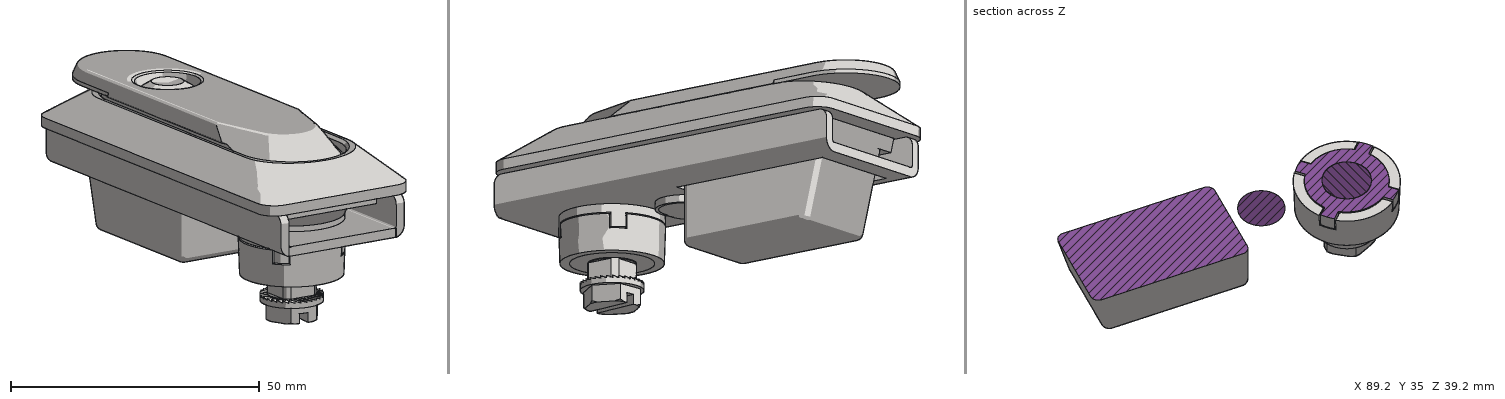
import cadquery as cq
import math


flange_length = 85.0
flange_width = 35.0
flange_height = 2.1
flange_corner = 4.0
rim_height = 8.1
rim_length = 74.0
rim_half_width = 12.3
rim_end_depth = 10.3
pivot_x = 24.6
rim_end_sliver = 1.0
recess_radius = 11.0
recess_chamfer = 0.6
recess_floor = 5.0
tray_width = 24.5
tray_depth = 2.85
tray_end_x = 36.9
front_wall_x = -37.8
front_wall_angle = 14.5
lock_box_width = 19.6
lock_box_end_x = -0.7
lock_box_bottom = -20.95
lock_box_fillet = 1.7
lock_box_bottom_fillet = 1.5

boss_radius = 10.7
boss_root_radius = 11.8
boss_root_bottom = -5.5
boss_bottom = -10.4
thread_radius = 8.6
tab_width = 3.0
tab_bottom = -13.4
tab_angles = [45, 135, 225, 315]
nut_clearance = 0.3
nut_top_radius = 10.8
nut_bottom_radius = 10.5
nut_bottom = -18.3

handle_bottom = 8.6
handle_parting = 9.4
handle_top = 11.7
handle_radius = 10.9
handle_end_x = -46.1
grip_end_x = -25.4
handle_draft = 24.0
handle_edge_fillet = 0.8
stem_radius = handle_radius
nose_top_x = 21.6
nose_top_radius = 6.9
nose_base_x = 24.3
nose_base_radius = 10.0
nose_foot_ledge = 0.4
nose_top_angle = 15.4
nose_base_angle = 18.0
bevel_bottom = 6.4

button_x = -20.3
button_radius = 5.35
button_shoulder = 10.0
button_dish_radius = 3.3
button_top = 11.3
button_dish_depth = 0.3
well_bore_radius = 5.9
well_bottom = 8.6
well_wall_radius = 6.7
well_wall_top = 11.3
well_step_radius = 7.2
well_rim_radius = 8.1
well_rim_height = 0.1

bracket_thickness = 2.0
bracket_width = 29.8
bracket_bottom = -8.65
bracket_front_x = -42.0
bracket_back_x = 43.05
bracket_web_setback = 0.3
bracket_inner_bend = 0.5
bracket_corner_fillet = 1.9
window_front_x = -37.35
window_clearance = 0.5

square_size = 8.0
journal_radius = 4.9
journal_bottom = nut_bottom - 0.2
spindle_bottom = -22.4

washer_radius = 6.4
washer_bottom = -23.9
tooth_count = 32
tooth_depth = 0.45
tooth_root_radius = journal_radius
hex_corner_radius = 5.9
hex_bottom = -27.45
hex_turn = -5.5
hex_chamfer_width = 0.49
hex_chamfer_height = 0.4
slot_width = 1.9
slot_depth = 2.05
dome_x = 5.9
dome_radius = 6.1
dome_rim_bottom = -10.2
dome_cap_radius = 5.35
dome_bottom = -11.8


def cylinder(x, radius, bottom, top):
    return cq.Workplane("XY", origin=(x, 0, bottom)).circle(radius).extrude(top - bottom)


def stadium(left_centre, right_centre, radius, bottom):
    """Outline along X with round ends about the two centres."""
    middle = (left_centre + right_centre) / 2
    length = right_centre - left_centre + 2 * radius
    return cq.Workplane("XY", origin=(middle, 0, bottom)).slot2D(length, 2 * radius)


def revolved(x, profile):
    """Solid turned about the vertical axis at x from (radius, height) points."""
    return cq.Workplane("XZ", origin=(x, 0, 0)).polyline(profile).close().revolve(360, (0, 0), (0, 1))


def on_circle(x, radius, degrees):
    angle = math.radians(degrees)
    return (x + radius * math.cos(angle), radius * math.sin(angle))


def cap_sphere_radius(rim, height):
    """Radius of the sphere whose cap has this rim radius and height."""
    return (rim ** 2 + height ** 2) / (2 * height)


def flange_outline():
    x = flange_length / 2
    y = flange_width / 2
    corner_x = x - flange_corner
    corner_y = y - flange_corner
    bulge = flange_corner * math.sqrt(0.5)
    return (
        cq.Workplane("XY", origin=(0, 0, flange_height))
        .moveTo(-corner_x, -y)
        .lineTo(corner_x, -y)
        .threePointArc((corner_x + bulge, -corner_y - bulge), (x, -corner_y))
        .lineTo(x, corner_y)
        .threePointArc((corner_x + bulge, corner_y + bulge), (corner_x, y))
        .lineTo(-corner_x, y)
        .threePointArc((-corner_x - bulge, corner_y + bulge), (-x, corner_y))
        .lineTo(-x, -corner_y)
        .threePointArc((-corner_x - bulge, -corner_y - bulge), (-corner_x, -y))
        .close()
    )


def rim_outline():
    """Oblong with each elliptical end in three arcs, to pair with the flange corners and end."""
    centre_x = rim_length / 2 - rim_end_depth
    outline = cq.Workplane("XY", origin=(0, 0, rim_height)).moveTo(-centre_x, -rim_half_width)
    for side, start in ((1, -90), (-1, 90)):
        outline = outline.lineTo(side * centre_x, -side * rim_half_width)
        stops = [start, start + 90 - rim_end_sliver, start + 90 + rim_end_sliver, start + 180]
        for begin, end in zip(stops, stops[1:]):
            outline = outline.ellipseArc(rim_end_depth, rim_half_width, begin, end)
    return outline.close()


def front_wall(z):
    return front_wall_x - z * math.tan(math.radians(front_wall_angle))


def sloped_block(width, end_x, bottom):
    """Block below the flange whose front end is the sloping wall."""
    profile = [(front_wall(0), 0), (end_x, 0), (end_x, bottom), (front_wall(bottom), bottom)]
    return cq.Workplane("XZ").polyline(profile).close().extrude(width / 2, both=True)


def make_lock_box():
    box = sloped_block(lock_box_width, lock_box_end_x, lock_box_bottom)
    box = box.edges("not |X").edges("not |Y").fillet(lock_box_fillet)
    return box.faces("<Z").edges().fillet(lock_box_bottom_fillet)


def tab_blocks(width, bottom, top):
    """Radial blocks at the tab angles, reaching inwards to the thread."""
    reach = boss_radius + 0.9
    blocks = cq.Workplane("XY")
    for angle in tab_angles:
        block = cq.Workplane("XY").box(reach, width, top - bottom, centered=(False, True, False))
        block = block.rotate((0, 0, 0), (0, 0, 1), angle).translate((pivot_x, 0, bottom))
        blocks = blocks.add(block)
    return blocks.combine().cut(cylinder(pivot_x, thread_radius, bottom, top))


def make_boss():
    boss = revolved(pivot_x, [
        (0, 0),
        (boss_root_radius, 0),
        (boss_root_radius, -tray_depth),
        (boss_radius, boss_root_bottom),
        (boss_radius, boss_bottom),
        (thread_radius, boss_bottom),
        (thread_radius, nut_bottom),
        (0, nut_bottom),
    ])
    tabs = tab_blocks(tab_width, tab_bottom, boss_bottom)
    return boss.union(tabs.intersect(cylinder(pivot_x, boss_radius, tab_bottom, boss_bottom)))


def make_frame():
    slopes = cq.Solid.makeLoft([flange_outline().wire().val(), rim_outline().wire().val()], True)
    flange = (
        cq.Workplane("XY")
        .rect(flange_length, flange_width)
        .extrude(flange_height)
        .edges("|Z")
        .fillet(flange_corner)
    )
    recess = stadium(-pivot_x, pivot_x, recess_radius, recess_floor).extrude(rim_height - recess_floor)
    recess_mouth = (
        stadium(-pivot_x, pivot_x, recess_radius + recess_chamfer, rim_height)
        .extrude(-recess_chamfer, taper=45)
    )
    frame = flange.union(cq.Workplane(slopes)).cut(recess).cut(recess_mouth)
    frame = frame.union(sloped_block(tray_width, tray_end_x, -tray_depth))
    frame = frame.union(make_lock_box()).union(make_boss())
    return frame.cut(cylinder(pivot_x, journal_radius, nut_bottom, recess_floor))


def make_nut():
    top = boss_bottom - nut_clearance
    nut = revolved(pivot_x, [
        (thread_radius, top),
        (nut_top_radius, top),
        (nut_bottom_radius, nut_bottom),
        (thread_radius, nut_bottom),
    ])
    return nut.cut(tab_blocks(tab_width + 2 * nut_clearance, tab_bottom - nut_clearance, top))


def nose_outline(arc_x, radius, edge_angle, z):
    """Wedge open towards -X that ends in an arc tangent to its straight edges."""
    tangent_x, tangent_y = on_circle(arc_x, radius, 90 - edge_angle)
    rear_x = handle_end_x - 0.9
    rear_y = tangent_y + (tangent_x - rear_x) * math.tan(math.radians(edge_angle))
    return (
        cq.Workplane("XY", origin=(0, 0, z))
        .moveTo(rear_x, -rear_y)
        .lineTo(tangent_x, -tangent_y)
        .threePointArc((arc_x + radius, 0), (tangent_x, tangent_y))
        .lineTo(rear_x, rear_y)
        .close()
    )


def make_handle():
    grip_left = handle_end_x + handle_radius
    flare = (handle_parting - handle_bottom) * math.tan(math.radians(handle_draft))
    lever = (
        stadium(grip_left, pivot_x, handle_radius + flare, handle_bottom)
        .extrude(handle_top - handle_bottom, taper=handle_draft)
    )
    upright = stadium(grip_left, pivot_x, handle_radius, handle_bottom).extrude(handle_parting - handle_bottom)
    grip_relief = (
        cq.Workplane("XY", origin=(grip_end_x, 0, handle_bottom))
        .box(flange_length, flange_width, handle_parting - handle_bottom, centered=(False, True, False))
        .translate((-flange_length, 0, 0))
        .cut(upright)
    )
    stem = stadium(-pivot_x, pivot_x, stem_radius, recess_floor).extrude(handle_bottom - recess_floor)
    nose_top = nose_outline(nose_top_x, nose_top_radius, nose_top_angle, handle_top).wire().val()
    nose_base = nose_outline(nose_base_x, nose_base_radius, nose_base_angle, bevel_bottom)
    bevel = cq.Workplane(cq.Solid.makeLoft([nose_base.wire().val(), nose_top], True))
    foot = (
        nose_outline(nose_base_x, nose_base_radius + nose_foot_ledge, nose_base_angle, recess_floor)
        .extrude(bevel_bottom - recess_floor)
    )
    handle = lever.cut(grip_relief).union(stem).intersect(bevel.union(foot))
    handle = handle.faces(">Z").edges().fillet(handle_edge_fillet)
    well = revolved(button_x, [
        (0, recess_floor),
        (well_bore_radius, recess_floor),
        (well_bore_radius, well_bottom),
        (well_wall_radius, well_wall_top),
        (well_step_radius, handle_top - well_rim_height),
        (well_rim_radius, handle_top),
        (0, handle_top),
    ])
    return handle.cut(well)


def make_button():
    button = revolved(button_x, [
        (0, recess_floor),
        (button_radius, recess_floor),
        (button_radius, button_shoulder),
        (button_dish_radius, button_top),
        (0, button_top),
    ])
    radius = cap_sphere_radius(button_dish_radius, button_dish_depth)
    centre_z = button_top - button_dish_depth + radius
    return button.cut(cq.Workplane("XY", origin=(button_x, 0, centre_z)).sphere(radius))


def make_bracket():
    length = bracket_back_x - bracket_front_x
    height = -bracket_bottom
    inner_width = bracket_width - 2 * bracket_thickness
    start = cq.Workplane("XY", origin=(bracket_front_x, 0, bracket_bottom))
    outside = (
        start.box(length, bracket_width, height, centered=(False, True, False))
        .edges("|X and <Z")
        .fillet(bracket_inner_bend + bracket_thickness)
    )
    inside = (
        start.workplane(offset=bracket_thickness)
        .box(length, inner_width, height, centered=(False, True, False))
        .edges("|X and <Z")
        .fillet(bracket_inner_bend)
    )
    bracket = outside.cut(inside).edges("|Y and >Z").fillet(bracket_corner_fillet)
    web_end = (
        cq.Workplane("XY", origin=(bracket_back_x, 0, bracket_bottom))
        .box(2 * bracket_web_setback, inner_width, 2 * bracket_thickness)
    )
    window_end_x = lock_box_end_x + window_clearance
    window = (
        cq.Workplane("XY", origin=(window_front_x, 0, bracket_bottom))
        .box(
            window_end_x - window_front_x,
            lock_box_width + 2 * window_clearance,
            bracket_thickness,
            centered=(False, True, False),
        )
    )
    boss_hole = cylinder(pivot_x, boss_radius, bracket_bottom, 0)
    return bracket.cut(web_end).cut(window).cut(boss_hole)


def make_spindle():
    journal = cylinder(pivot_x, journal_radius, journal_bottom, recess_floor)
    end = cylinder(pivot_x, journal_radius, spindle_bottom, journal_bottom)
    square = (
        cq.Workplane("XY", origin=(pivot_x, 0, spindle_bottom))
        .rect(square_size, square_size)
        .extrude(journal_bottom - spindle_bottom)
    )
    return journal.union(end.intersect(square))


def make_washer():
    washer = cylinder(0, washer_radius, washer_bottom, spindle_bottom)
    pitch = 2 * math.pi * washer_radius / tooth_count
    notch = (
        cq.Workplane("YZ", origin=(tooth_root_radius, 0, spindle_bottom))
        .polyline([(-pitch / 2, 0), (pitch / 2, 0), (pitch / 2, -tooth_depth)])
        .close()
        .extrude(washer_radius - tooth_root_radius + 0.9)
    )
    for tooth in range(tooth_count):
        washer = washer.cut(notch.rotate((0, 0, 0), (0, 0, 1), tooth * 360 / tooth_count))
    return washer.translate((pivot_x, 0, 0))


def make_hex_screw():
    height = washer_bottom - hex_bottom
    head = (
        cq.Workplane("XY", origin=(0, 0, hex_bottom))
        .polygon(6, 2 * hex_corner_radius)
        .extrude(height)
        .rotate((0, 0, 0), (0, 0, 1), 90)
    )
    round_blank = cylinder(0, hex_corner_radius, hex_bottom, washer_bottom).faces("<Z")
    round_blank = round_blank.chamfer(hex_chamfer_height, hex_chamfer_width)
    slot = (
        cq.Workplane("XY", origin=(0, 0, hex_bottom))
        .rect(2 * hex_corner_radius, slot_width)
        .extrude(slot_depth)
    )
    head = head.intersect(round_blank).cut(slot)
    return head.rotate((0, 0, 0), (0, 0, 1), hex_turn).translate((pivot_x, 0, 0))


def make_dome_screw():
    rim = cylinder(dome_x, dome_radius, dome_rim_bottom, bracket_bottom)
    sphere_radius = cap_sphere_radius(dome_cap_radius, dome_rim_bottom - dome_bottom)
    sphere = cq.Workplane("XY", origin=(dome_x, 0, dome_bottom + sphere_radius)).sphere(sphere_radius)
    cap = sphere.intersect(cylinder(dome_x, dome_cap_radius, dome_bottom, dome_rim_bottom))
    return rim.union(cap)


frame = make_frame()
handle = make_handle()
button = make_button()
bracket = make_bracket()
nut = make_nut()
spindle = make_spindle()
washer = make_washer()
hex_screw = make_hex_screw()
dome_screw = make_dome_screw()

result = cq.Compound.makeCompound([
    frame.val(),
    handle.val(),
    button.val(),
    bracket.val(),
    nut.val(),
    spindle.val(),
    washer.val(),
    hex_screw.val(),
    dome_screw.val(),
])